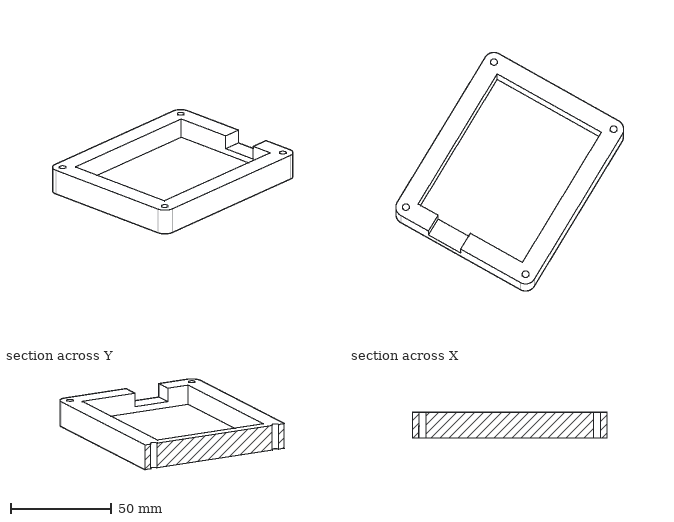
import cadquery as cq

width = 79.1
length = 97.1
height = 13.0
corner_radius = 5.0

wall = 9.5
floor_thickness = 3.0

notch_width = 18.5
notch_depth = 7.0

hole_diameter = 3.4


def make_block():
    block = cq.Workplane("XY").box(width, length, height, centered=(True, True, False))
    return block.edges("|Z").fillet(corner_radius)


def make_pocket():
    return (
        cq.Workplane("XY", origin=(0, 0, floor_thickness))
        .rect(width - 2 * wall, length - 2 * wall)
        .extrude(height - floor_thickness)
    )


def make_notch():
    return (
        cq.Workplane("XY")
        .box(notch_width, wall, notch_depth, centered=False)
        .translate((0, length / 2 - wall, height - notch_depth))
    )


def make_corner_holes():
    return (
        cq.Workplane("XY")
        .rect(width - 2 * corner_radius, length - 2 * corner_radius, forConstruction=True)
        .vertices()
        .circle(hole_diameter / 2)
        .extrude(height)
    )


result = make_block().cut(make_pocket()).cut(make_notch()).cut(make_corner_holes())